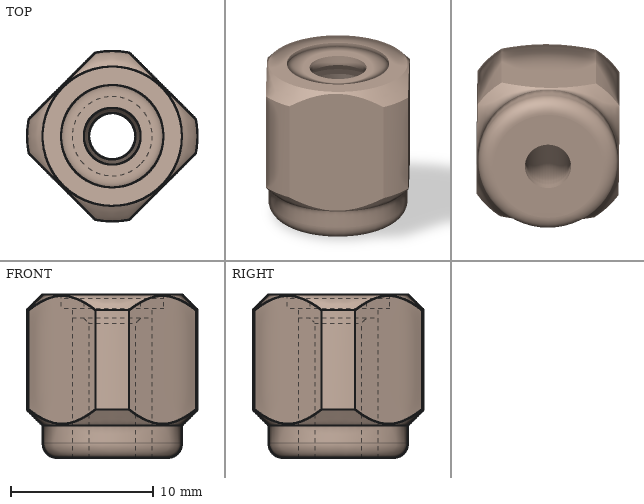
import cadquery as cq

across_flats = 10.0
corner_diameter = 12.0
total_height = 11.5
collar_height = 2.3
collar_diameter = 9.8
collar_rounding = 1.05
bevel = (corner_diameter - collar_diameter) / 2

washer_diameter = 7.2
washer_hole_diameter = 4.0
washer_thickness = 0.7
washer_setback = 0.3
seat_depth = washer_setback + washer_thickness

insert_diameter = 5.6
thread_major_diameter = 4.0
thread_minor_diameter = 3.242
insert_gap = 0.67
insert_height = total_height - seat_depth - insert_gap
thread_chamfer = (thread_major_diameter - thread_minor_diameter) / 2


def make_housing():
    square_height = total_height - collar_height
    square = (
        cq.Workplane("XY", origin=(0, 0, collar_height))
        .transformed(rotate=(0, 0, 45))
        .rect(across_flats, across_flats)
        .extrude(square_height)
    )
    bevelled_round = (
        cq.Workplane("XY", origin=(0, 0, collar_height))
        .circle(corner_diameter / 2)
        .extrude(square_height)
        .edges()
        .chamfer(bevel)
    )
    collar = (
        cq.Workplane("XY")
        .circle(collar_diameter / 2)
        .extrude(collar_height)
        .faces("<Z")
        .edges()
        .fillet(collar_rounding)
    )
    bore = cq.Workplane("XY").circle(insert_diameter / 2).extrude(total_height)
    washer_seat = (
        cq.Workplane("XY", origin=(0, 0, total_height - seat_depth))
        .circle(washer_diameter / 2)
        .extrude(seat_depth)
    )
    return square.intersect(bevelled_round).union(collar).cut(bore).cut(washer_seat)


def make_washer():
    return (
        cq.Workplane("XY", origin=(0, 0, total_height - seat_depth))
        .circle(washer_diameter / 2)
        .circle(washer_hole_diameter / 2)
        .extrude(washer_thickness)
    )


def make_insert():
    return (
        cq.Workplane("XY")
        .circle(insert_diameter / 2)
        .circle(thread_minor_diameter / 2)
        .extrude(insert_height)
        .faces(">Z")
        .edges(cq.selectors.RadiusNthSelector(0))
        .chamfer(thread_chamfer)
    )


housing = make_housing()
washer = make_washer()
insert = make_insert()

result = cq.Compound.makeCompound([housing.val(), washer.val(), insert.val()])